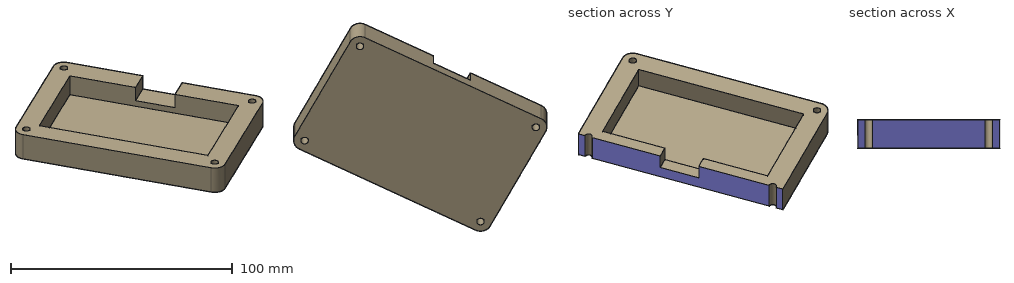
import cadquery as cq

length = 99.2
width = 64.0
height = 13.0
corner_radius = 5.0

pocket_length = 80.0
pocket_width = 44.0
pocket_center_y = -0.5
pocket_depth = 10.0

notch_width = 18.7
notch_center_x = 0.5
notch_depth = 7.0

hole_diameter = 3.4


def make_body():
    body = cq.Workplane("XY").box(length, width, height, centered=(True, True, False))
    return body.edges("|Z").fillet(corner_radius)


def make_pocket():
    return (
        cq.Workplane("XY", origin=(0, pocket_center_y, height - pocket_depth))
        .box(pocket_length, pocket_width, pocket_depth, centered=(True, True, False))
    )


def make_notch():
    notch_length = width / 2 - pocket_center_y
    return (
        cq.Workplane("XY", origin=(notch_center_x, pocket_center_y, height - notch_depth))
        .box(notch_width, notch_length, notch_depth, centered=(True, False, False))
    )


def make_screw_holes():
    spacing_x = length - 2 * corner_radius
    spacing_y = width - 2 * corner_radius
    return (
        cq.Workplane("XY")
        .rect(spacing_x, spacing_y, forConstruction=True)
        .vertices()
        .circle(hole_diameter / 2)
        .extrude(height)
    )


result = make_body().cut(make_pocket()).cut(make_notch()).cut(make_screw_holes())